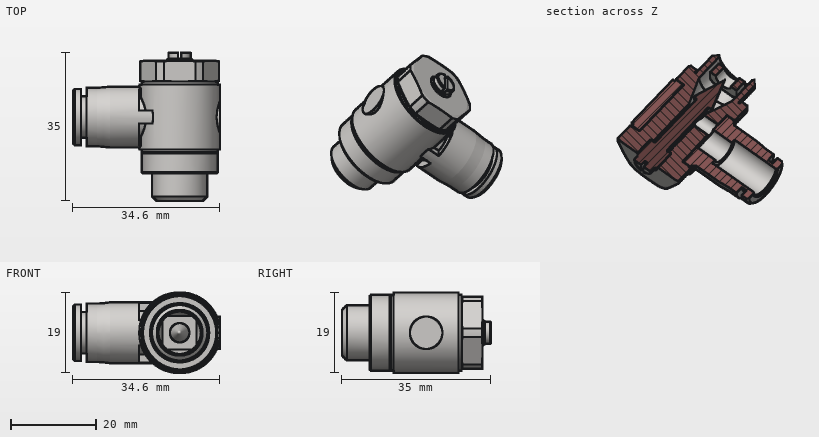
import cadquery as cq
import math


barrel_diameter = 19.0
barrel_radius = barrel_diameter / 2
barrel_half_length = 7.63
neck_radius = 8.95
neck_top = 8.33
neck_bottom = -8.22
stem_radius = 6.5
boss_radius = 3.8

arm_end = -25.1
ring_chamfer = 0.52
ring_back = -23.15
ring_radius = 6.65
groove_radius = 4.9
sleeve_start = -21.88
sleeve_radius = 6.9
flare_start = -19.32
flare_end = -16.35
arm_radius = 7.18
arm_core_radius = 5.32
upright_rib_width = 2.98
level_rib_width = 5.9

socket_radius = 4.05
socket_chamfer = 0.4
socket_floor = -12.25
port_radius = 3.0

hex_across_flats = 17.0
hex_corner_radius = 9.28
hex_top = 13.25
hex_edge_drop = 0.18
hex_edge_inset = 0.98
collar_bottom = -13.25
collar_chamfer = 0.35
seal_recess_radius = 6.75
seal_recess_chamfer = 0.2
seal_recess_depth = 0.7
shaft_bottom = -19.78
shaft_chamfer = 1.12

bore_radius = 4.97
bore_chamfer = 0.4
bore_taper_start = -11.9
bore_taper_end = -4.9
seat_face = -17.92
seat_back = -14.77
seat_width = 7.98
seat_hole_radius = 2.28
cross_hole_radius = 1.8
cross_hole_y = -2.98

needle_head_radius = 2.62
needle_top = 15.22
needle_head_bottom = 13.8
needle_edge_chamfer = 0.2
needle_collar_radius = 3.0
needle_collar_top = 13.4
needle_shoulder = neck_top
needle_radius = 1.82
plug_radius = 2.62
plug_top = -7.0
plug_base = -7.7
plug_tip = -15.4
slot_width = 0.75


def turned_on_y(points):
    """Solid of revolution about Y from (radius, y) points that start and end on the axis."""
    return cq.Workplane("XY").polyline(points).close().revolve(360, (0, 0, 0), (0, 1, 0))


def cylinder_y(radius, start, end):
    return cq.Workplane("XZ", origin=(0, start, 0)).circle(radius).extrude(start - end)


def cylinder_x(radius, start, end):
    return cq.Workplane("YZ", origin=(start, 0, 0)).circle(radius).extrude(end - start)


def make_rib_gaps():
    """Four clearances around the arm core, next to the barrel, that leave a cross of ribs."""
    span = 3 * arm_radius
    gaps = cylinder_x(span / 2, -barrel_radius, 0)
    gaps = gaps.cut(cylinder_x(arm_core_radius, -barrel_radius, 0))
    for width, height in ((upright_rib_width, span), (span, level_rib_width)):
        gaps = gaps.cut(cq.Workplane("YZ").rect(width, height).extrude(-barrel_radius))
    return gaps


def make_arm():
    """Arm turned about X, from the release ring to the bolt axis."""
    arm = (
        cq.Workplane("XY")
        .polyline([
            (arm_end, 0),
            (arm_end, ring_radius - ring_chamfer),
            (arm_end + ring_chamfer, ring_radius),
            (ring_back, ring_radius),
            (ring_back, groove_radius),
            (sleeve_start, groove_radius),
            (sleeve_start, sleeve_radius),
            (flare_start, sleeve_radius),
            (flare_end, arm_radius),
            (0, arm_radius),
            (0, 0),
        ])
        .close()
        .revolve(360, (0, 0, 0), (1, 0, 0))
    )
    return arm.cut(make_rib_gaps())


def make_socket():
    """Tube socket with a chamfered mouth, and the narrower port behind it."""
    return (
        cq.Workplane("XY")
        .polyline([
            (arm_end, 0),
            (arm_end, socket_radius + socket_chamfer),
            (arm_end + socket_chamfer, socket_radius),
            (socket_floor, socket_radius),
            (socket_floor, port_radius),
            (0, port_radius),
            (0, 0),
        ])
        .close()
        .revolve(360, (0, 0, 0), (1, 0, 0))
    )


def make_housing():
    housing = cylinder_y(barrel_radius, -barrel_half_length, barrel_half_length)
    housing = housing.union(cylinder_y(neck_radius, neck_bottom, neck_top))
    housing = housing.union(cylinder_x(boss_radius, 0, barrel_radius))
    housing = housing.union(make_arm())
    housing = housing.cut(make_socket())
    return housing.cut(cylinder_y(stem_radius, neck_bottom, neck_top))


def make_hex_head():
    """Hexagon with corners rounded to a circle and both ends bevelled at the corners."""
    corner_diameter = hex_across_flats / math.cos(math.pi / 6)
    prism = (
        cq.Workplane("XZ", origin=(0, hex_top, 0))
        .polygon(6, corner_diameter)
        .extrude(hex_top - neck_top)
    )
    blank = turned_on_y([
        (0, neck_top),
        (hex_corner_radius - hex_edge_inset, neck_top),
        (hex_corner_radius, neck_top + hex_edge_drop),
        (hex_corner_radius, hex_top - hex_edge_drop),
        (hex_corner_radius - hex_edge_inset, hex_top),
        (0, hex_top),
    ])
    return prism.intersect(blank)


def make_shaft():
    """Stem inside the housing, collar below it, and shaft with a seal recess at its root."""
    return turned_on_y([
        (0, neck_top),
        (stem_radius, neck_top),
        (stem_radius, neck_bottom),
        (neck_radius - collar_chamfer, neck_bottom),
        (neck_radius, neck_bottom - collar_chamfer),
        (neck_radius, collar_bottom + collar_chamfer),
        (neck_radius - collar_chamfer, collar_bottom),
        (seal_recess_radius + seal_recess_chamfer, collar_bottom),
        (seal_recess_radius, collar_bottom + seal_recess_chamfer),
        (seal_recess_radius, collar_bottom + seal_recess_depth),
        (stem_radius, collar_bottom + seal_recess_depth),
        (stem_radius, shaft_bottom + shaft_chamfer),
        (stem_radius - shaft_chamfer, shaft_bottom),
        (0, shaft_bottom),
    ])


def make_flow_bore():
    """Passage from the shaft end up to the needle collar."""
    return turned_on_y([
        (0, shaft_bottom),
        (bore_radius + bore_chamfer, shaft_bottom),
        (bore_radius, shaft_bottom + bore_chamfer),
        (bore_radius, bore_taper_start),
        (seat_hole_radius, bore_taper_end),
        (seat_hole_radius, needle_shoulder),
        (needle_collar_radius, needle_shoulder),
        (needle_collar_radius, hex_top),
        (0, hex_top),
    ])


def make_seat():
    """Square plate whose corners meet the bore wall, so that air passes its four flats."""
    seat_length = seat_back - seat_face
    plate = (
        cq.Workplane("XZ", origin=(0, seat_back, 0))
        .rect(seat_width, seat_width)
        .circle(seat_hole_radius)
        .extrude(seat_length)
    )
    return plate.intersect(cylinder_y(bore_radius, seat_face, seat_back))


def make_needle():
    """Slotted adjusting screw with a thin shank and a conical valve plug."""
    needle = turned_on_y([
        (0, needle_top),
        (needle_head_radius - needle_edge_chamfer, needle_top),
        (needle_head_radius, needle_top - needle_edge_chamfer),
        (needle_head_radius, needle_head_bottom),
        (needle_collar_radius, needle_collar_top),
        (needle_collar_radius, needle_shoulder),
        (needle_radius, needle_shoulder),
        (needle_radius, plug_top),
        (plug_radius, plug_top),
        (plug_radius, plug_base),
        (0, plug_tip),
    ])
    slot = (
        cq.Workplane("XZ", origin=(0, needle_top, 0))
        .rect(slot_width, 2 * needle_head_radius)
        .extrude(needle_top - needle_head_bottom)
    )
    return needle.cut(slot)


def make_bolt():
    bolt = make_hex_head().union(make_shaft()).cut(make_flow_bore()).union(make_seat())
    cross_hole = cylinder_x(cross_hole_radius, -stem_radius, 0).translate((0, cross_hole_y, 0))
    return bolt.cut(cross_hole)


housing = make_housing()
bolt = make_bolt()
needle = make_needle()
result = cq.Compound.makeCompound([
    housing.solids().val(),
    bolt.solids().val(),
    needle.solids().val(),
])